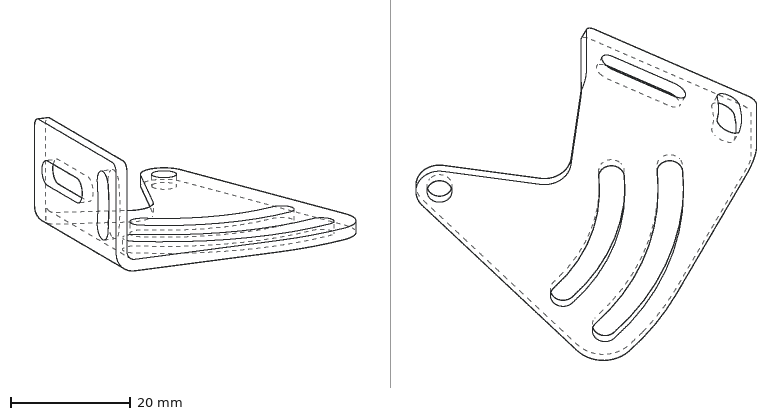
import cadquery as cq
import math


thickness = 2.05
inner_bend_radius = 1.4
outer_bend_radius = thickness + inner_bend_radius

pivot_end_radius = 4.0
pivot_hole_radius = 2.1
outer_edge_radius = 44.5
tip_radius = 6.0
tip_angle = 17.6
lower_edge_angle = -18.0
lower_edge_length = 21.15
notch_edge_angle = 70.4
notch_radius = 4.5

slot_end_radius = 2.15
plate_slot_radii = (29.0, 38.85)
plate_slot_start = -32.5
plate_slot_end = 17.5

flange_front = -29.95
flange_back = flange_front + thickness
flange_width = 32.05
flange_height = 19.0
flange_corner_radius = 1.55
flange_right = outer_edge_radius
flange_left = flange_right - flange_width
flange_slot_height = 10.45
straight_slot_center = 23.28
straight_slot_length = 15.75
flange_arc_radius = 22.0
flange_arc_half_angle = 10.0
flange_pivot = straight_slot_center - straight_slot_length / 2 + slot_end_radius


def polar(radius, angle, center=(0, 0)):
    """Point at a radius and an angle in degrees about a centre."""
    turn = math.radians(angle)
    return (center[0] + radius * math.cos(turn), center[1] + radius * math.sin(turn))


def arc_slot(plane, radius, start, end, depth):
    """Round-ended slot cutter swept about the plane's origin."""
    inner = radius - slot_end_radius
    outer = radius + slot_end_radius
    middle = (start + end) / 2
    cap_start = polar(slot_end_radius, start - 90, polar(radius, start))
    cap_end = polar(slot_end_radius, end + 90, polar(radius, end))
    return (
        plane.moveTo(*polar(inner, start))
        .threePointArc(polar(inner, middle), polar(inner, end))
        .threePointArc(cap_end, polar(outer, end))
        .threePointArc(polar(outer, middle), polar(outer, start))
        .threePointArc(cap_start, polar(inner, start))
        .close()
        .extrude(depth)
    )


def plate_outline():
    """Plate shape seen from above, extruded over the full flange height."""
    center_distance = outer_edge_radius - tip_radius
    tip_center = polar(center_distance, tip_angle)
    taper = math.degrees(math.asin((tip_radius - pivot_end_radius) / center_distance))
    upper_normal = tip_angle + taper + 90
    lower_normal = lower_edge_angle - 90
    lower_start = polar(pivot_end_radius, lower_normal)
    notch_corner = polar(lower_edge_length, lower_edge_angle, lower_start)
    drop = notch_corner[1] - flange_front
    foot = notch_corner[0] - drop / math.tan(math.radians(notch_edge_angle))
    outline = (
        cq.Workplane("XY")
        .moveTo(*lower_start)
        .lineTo(*notch_corner)
        .lineTo(foot, flange_front)
        .lineTo(flange_right, flange_front)
        .lineTo(flange_right, 0)
        .threePointArc(polar(outer_edge_radius, tip_angle / 2), polar(outer_edge_radius, tip_angle))
        .threePointArc(
            polar(tip_radius, (tip_angle + upper_normal) / 2, tip_center),
            polar(tip_radius, upper_normal, tip_center),
        )
        .lineTo(*polar(pivot_end_radius, upper_normal))
        .threePointArc((-pivot_end_radius, 0), lower_start)
        .close()
        .extrude(flange_height)
    )
    notch_edge = cq.selectors.NearestToPointSelector((*notch_corner, flange_height / 2))
    return outline.edges("|Z").edges(notch_edge).fillet(notch_radius)


def flange_outline():
    """Full-width block that bounds the upright flange."""
    return (
        cq.Workplane("XY")
        .box(flange_width, thickness, flange_height, centered=False)
        .translate((flange_left, flange_front, 0))
        .edges("|Y and >Z")
        .fillet(flange_corner_radius)
    )


def bent_sheet():
    """L-shaped sheet with a rounded bend, spanning the whole part."""
    plate_end = outer_edge_radius
    sheet = (
        cq.Workplane("YZ", origin=(-pivot_end_radius, 0, 0))
        .moveTo(flange_front, 0)
        .lineTo(plate_end, 0)
        .lineTo(plate_end, thickness)
        .lineTo(flange_back, thickness)
        .lineTo(flange_back, flange_height)
        .lineTo(flange_front, flange_height)
        .close()
        .extrude(pivot_end_radius + flange_right)
    )
    inner_corner = cq.selectors.NearestToPointSelector((flange_right / 2, flange_back, thickness))
    outer_corner = cq.selectors.NearestToPointSelector((flange_right / 2, flange_front, 0))
    sheet = sheet.edges("|X").edges(inner_corner).fillet(inner_bend_radius)
    return sheet.edges("|X").edges(outer_corner).fillet(outer_bend_radius)


flange_zone = (
    cq.Workplane("XY")
    .box(outer_edge_radius * 2, thickness, flange_height, centered=(True, False, False))
    .translate((0, flange_front, 0))
)
body_outline = plate_outline().cut(flange_zone).union(flange_outline())
result = bent_sheet().intersect(body_outline)

result = result.cut(cq.Workplane("XY").circle(pivot_hole_radius).extrude(thickness))
for slot_radius in plate_slot_radii:
    plate_plane = cq.Workplane("XY")
    result = result.cut(arc_slot(plate_plane, slot_radius, plate_slot_start, plate_slot_end, thickness))

straight_slot = (
    cq.Workplane("XZ", origin=(straight_slot_center, flange_back, flange_slot_height))
    .slot2D(straight_slot_length, 2 * slot_end_radius)
    .extrude(thickness)
)
flange_plane = cq.Workplane("XZ", origin=(flange_pivot, flange_back, flange_slot_height))
curved_slot = arc_slot(
    flange_plane, flange_arc_radius, -flange_arc_half_angle, flange_arc_half_angle, thickness
)
result = result.cut(straight_slot).cut(curved_slot)